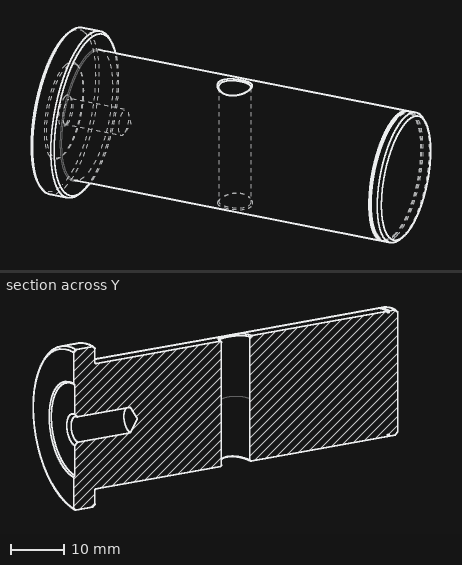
import cadquery as cq
import math

total_length = 70.0
flange_diameter = 32.0
flange_thickness = 4.7
body_diameter = 25.0
flange_chamfer = 0.5
body_end_chamfer = 0.6
neck_fillet = 0.2

groove_end_distance = 2.1
groove_mouth_width = 0.4
groove_floor_width = 0.2
groove_depth = 0.35

cross_hole_diameter = 6.0
cross_hole_chamfer = 0.3

recess_diameter = 18.6
recess_depth = 0.3

screw_hole_diameter = 5.0
screw_hole_mouth_diameter = 6.15
screw_hole_depth = 12.0
drill_point_angle = 118.0

flange_radius = flange_diameter / 2
body_radius = body_diameter / 2
hole_position = total_length / 2


def half_profile():
    """Closed half section of the solid shaft, drawn in XY above the X axis."""
    return (
        cq.Workplane("XY")
        .lineTo(0, flange_radius - flange_chamfer)
        .line(flange_chamfer, flange_chamfer)
        .lineTo(flange_thickness - flange_chamfer, flange_radius)
        .line(flange_chamfer, -flange_chamfer)
        .lineTo(flange_thickness, body_radius + neck_fillet)
        .radiusArc((flange_thickness + neck_fillet, body_radius), -neck_fillet)
        .lineTo(total_length - body_end_chamfer, body_radius)
        .line(body_end_chamfer, -body_end_chamfer)
        .lineTo(total_length, 0)
        .close()
    )


def revolve_about_x(profile):
    return profile.revolve(360, (0, 0, 0), (1, 0, 0))


def ring_groove():
    """Ring with sloped sides and a flat floor, cut into the body near its free end."""
    center = total_length - groove_end_distance
    floor_radius = body_radius - groove_depth
    profile = (
        cq.Workplane("XY")
        .moveTo(center - groove_mouth_width / 2, body_radius)
        .lineTo(center - groove_floor_width / 2, floor_radius)
        .lineTo(center + groove_floor_width / 2, floor_radius)
        .lineTo(center + groove_mouth_width / 2, body_radius)
        .close()
    )
    return revolve_about_x(profile)


def flange_face_cut():
    """Recess and screw hole together, as one stepped round cut."""
    recess_radius = recess_diameter / 2
    mouth_radius = screw_hole_mouth_diameter / 2
    hole_radius = screw_hole_diameter / 2
    countersink_depth = mouth_radius - hole_radius
    hole_end = recess_depth + screw_hole_depth
    point_length = hole_radius / math.tan(math.radians(drill_point_angle / 2))
    profile = (
        cq.Workplane("XY")
        .lineTo(0, recess_radius)
        .line(recess_depth, -recess_depth)
        .lineTo(recess_depth, mouth_radius)
        .line(countersink_depth, -countersink_depth)
        .lineTo(hole_end, hole_radius)
        .lineTo(hole_end + point_length, 0)
        .close()
    )
    return revolve_about_x(profile)


def with_cross_hole(shaft):
    """Drill the through hole along Z and chamfer its rim at the top and bottom of the body."""
    drill = cq.Workplane("XY", origin=(hole_position, 0, 0)).circle(cross_hole_diameter / 2)
    drilled = shaft.cut(drill.extrude(flange_radius, both=True))
    reach = cross_hole_diameter
    near, far = hole_position - reach, hole_position + reach
    top_rim = cq.selectors.BoxSelector((near, -reach, body_radius / 2), (far, reach, flange_radius))
    bottom_rim = cq.selectors.BoxSelector((near, -reach, -flange_radius), (far, reach, -body_radius / 2))
    return drilled.edges(top_rim + bottom_rim).chamfer(cross_hole_chamfer)


shaft = revolve_about_x(half_profile())
result = with_cross_hole(shaft).cut(ring_groove()).cut(flange_face_cut())